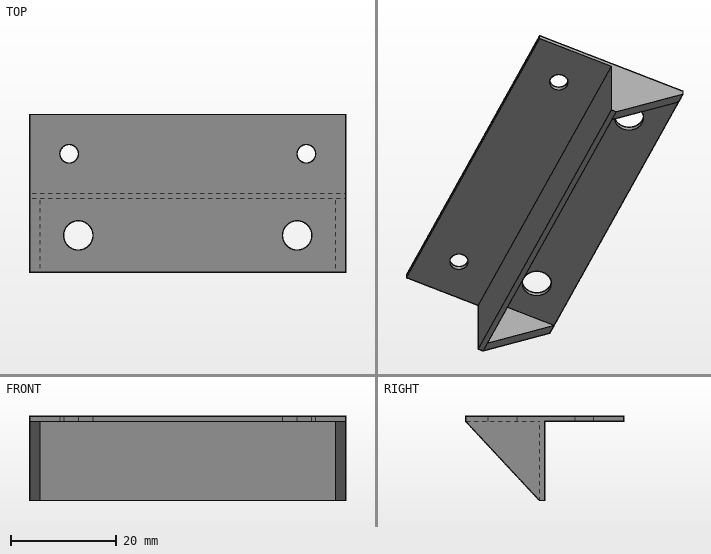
import cadquery as cq

length = 60.0
depth = 30.0
height = 16.0
sheet = 1.0
gusset_width = 2.0

small_diameter = 3.5
small_spacing = 45.0
small_y = 7.5
large_diameter = 5.5
large_spacing = 41.5
large_y = -8.0


def hole_pair(diameter, spacing, y):
    """Two cylinders that cut through the plate only."""
    centres = [(-spacing / 2, y), (spacing / 2, y)]
    return cq.Workplane("XY").pushPoints(centres).circle(diameter / 2).extrude(-sheet)


def gusset(start_x):
    """Triangular end rib from the front plate edge to the foot of the wall."""
    outline = [(-depth / 2, -sheet), (-sheet, -sheet), (-sheet, -height)]
    return cq.Workplane("YZ").workplane(offset=start_x).polyline(outline).close().extrude(gusset_width)


plate = cq.Workplane("XY").rect(length, depth).extrude(-sheet)

wall = cq.Workplane("XY").center(0, -sheet / 2).rect(length, sheet).extrude(-height)

body = plate.union(wall)
for start_x in (-length / 2, length / 2 - gusset_width):
    body = body.union(gusset(start_x))

body = body.cut(hole_pair(small_diameter, small_spacing, small_y))
result = body.cut(hole_pair(large_diameter, large_spacing, large_y))